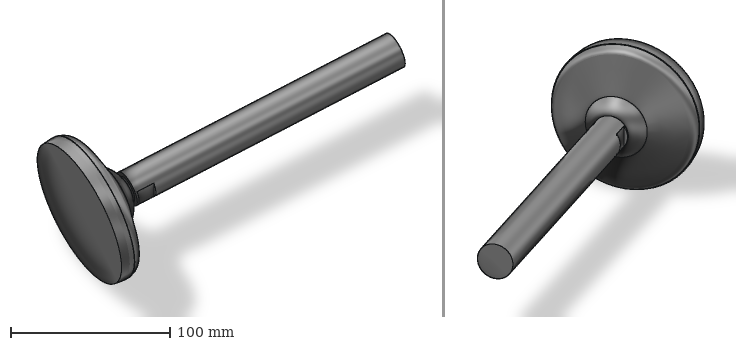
import cadquery as cq
import math

total_length = 235.0

pad_radius = 50.0
pad_bottom_radius = 49.4
taper_height = 5.9
rim_top = 9.5
rim_step = 0.5
shoulder_fillet = 6.8

dome_base_height = 25.5
dome_base_radius = 21.0
dome_sphere_radius = 26.5
dome_top = 34.3

neck_radius = 9.0
stem_start = 35.5
stem_radius = 12.0

across_flats = 19.0
flat_start = 37.0
flat_length = 12.5

dome_center = dome_base_height - math.sqrt(dome_sphere_radius**2 - dome_base_radius**2)
dome_top_radius = math.sqrt(dome_sphere_radius**2 - (dome_top - dome_center) ** 2)
dome_mid_height = (dome_base_height + dome_top) / 2
dome_mid_radius = math.sqrt(dome_sphere_radius**2 - (dome_mid_height - dome_center) ** 2)

shoulder_radius = pad_radius - rim_step
fillet_center = shoulder_radius - shoulder_fillet
run = fillet_center - dome_base_radius
drop = dome_base_height - rim_top
cone_slope = math.atan2(drop, run) - math.asin(shoulder_fillet / math.hypot(run, drop))


def fillet_point(angle):
    """Point on the shoulder fillet, with the angle measured from the outward radial direction."""
    return (
        fillet_center + shoulder_fillet * math.cos(angle),
        rim_top + shoulder_fillet * math.sin(angle),
    )


def make_body():
    """Revolve the half profile of pad, dome, neck and stem about the Y axis."""
    fillet_angle = math.pi / 2 - cone_slope
    return (
        cq.Workplane("XY")
        .moveTo(0, total_length)
        .lineTo(stem_radius, total_length)
        .lineTo(stem_radius, stem_start)
        .lineTo(neck_radius, stem_start)
        .lineTo(neck_radius, dome_top)
        .lineTo(dome_top_radius, dome_top)
        .threePointArc((dome_mid_radius, dome_mid_height), (dome_base_radius, dome_base_height))
        .lineTo(*fillet_point(fillet_angle))
        .threePointArc(fillet_point(fillet_angle / 2), fillet_point(0))
        .lineTo(pad_radius, rim_top)
        .lineTo(pad_radius, taper_height)
        .lineTo(pad_bottom_radius, 0)
        .lineTo(0, 0)
        .close()
        .revolve(360, (0, 0, 0), (0, 1, 0))
    )


def make_flat_cutter(side):
    """Block lying outside one wrench flat; side is -1 or +1 along X."""
    block_depth = stem_radius
    return cq.Workplane("XY").box(block_depth, flat_length, 2 * stem_radius).translate(
        (side * (across_flats + block_depth) / 2, flat_start + flat_length / 2, 0)
    )


result = make_body()
for side in (-1, 1):
    result = result.cut(make_flat_cutter(side))